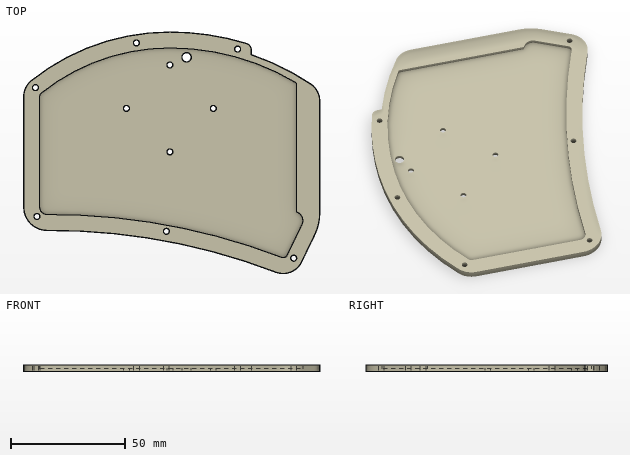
import cadquery as cq
import math

plate_length = 129.55
plate_thickness = 3.0
pocket_depth = 1.5
rim_width = 7.0
narrow_rim_width = 3.0

plate_left = -63.97
plate_right = plate_left + plate_length
pocket_left = plate_left + rim_width
pocket_right = 55.4

crest_y = 26.45
left_crown_radius = 90.0
right_crown_radius = 107.5

lower_centre = (-52.1, -327.6)
lower_radius = 281.2

slant_angle = math.radians(64.2)
pocket_slant_point = (51.95, -62.8)

bulge_top_y = -45.3
bulge_middle = (57.6, -47.1)
bulge_bottom_y = -50.4

tab_right = 35.6
tab_radius = 3.0

pocket_corner_radius = 2.0
lower_left_pocket_radius = 3.3
pocket_top_right_radius = 1.0
plate_corner_radius = pocket_corner_radius + rim_width
lower_left_plate_radius = lower_left_pocket_radius + rim_width
plate_slant_radius = 22.0

screw_diameter = 2.5
pattern_count = 4
pattern_radius = 19.0
rim_holes = [
    (-14.65, 28.65),
    (29.6, 25.95),
    (-58.8, 9.1),
    (-58.15, -47.25),
    (-1.55, -53.75),
    (54.15, -65.5),
]
large_hole_diameter = 4.0
large_hole = (7.3, 22.35)


def crown_y(x, offset):
    """Height at x of the crown curve, moved outward by offset."""
    radius = left_crown_radius if x < 0 else right_crown_radius
    return crest_y - radius + math.sqrt((radius + offset) ** 2 - x**2)


def lower_y(x, offset):
    """Height at x of the lower curve, moved outward by offset."""
    return lower_centre[1] + math.sqrt((lower_radius - offset) ** 2 - (x - lower_centre[0]) ** 2)


def crown_point(x, offset):
    return (x, crown_y(x, offset))


def lower_point(x, offset):
    return (x, lower_y(x, offset))


def slant_x(y, offset):
    """Position at height y of the slanted wall, moved outward by offset."""
    rise = y - pocket_slant_point[1]
    return pocket_slant_point[0] + rise / math.tan(slant_angle) + offset / math.sin(slant_angle)


def slant_y(x, offset):
    """Height at x of the slanted wall, moved outward by offset."""
    run = x - pocket_slant_point[0] - offset / math.sin(slant_angle)
    return pocket_slant_point[1] + run * math.tan(slant_angle)


def lower_right_corner(offset):
    """Point where the slanted wall meets the lower curve, both moved outward by offset."""
    base_x = slant_x(lower_centre[1], offset)
    along = (math.cos(slant_angle), math.sin(slant_angle))
    shift = base_x - lower_centre[0]
    projection = shift * along[0]
    reach = -projection + math.sqrt(projection**2 - shift**2 + (lower_radius - offset) ** 2)
    return (base_x + reach * along[0], lower_centre[1] + reach * along[1])


def fillet_corner(body, corner, radius):
    """Round the vertical edge nearest to a corner point."""
    nearest = cq.selectors.NearestToPointSelector((corner[0], corner[1], plate_thickness / 2))
    edges = body.edges("|Z").edges(nearest)
    return edges.fillet(radius)


def make_plate():
    lower_left = lower_point(plate_left, rim_width)
    upper_left = crown_point(plate_left, rim_width)
    tab_top = crown_point(tab_right, rim_width)
    tab_foot = crown_point(tab_right, narrow_rim_width)
    upper_right = crown_point(plate_right, narrow_rim_width)
    slant_top = (plate_right, slant_y(plate_right, rim_width))
    lower_right = lower_right_corner(rim_width)
    body = (
        cq.Workplane("XY")
        .moveTo(*lower_left)
        .lineTo(*upper_left)
        .threePointArc(crown_point(plate_left / 2, rim_width), crown_point(0, rim_width))
        .threePointArc(crown_point(tab_right / 2, rim_width), tab_top)
        .lineTo(*tab_foot)
        .threePointArc(crown_point((tab_right + plate_right) / 2, narrow_rim_width), upper_right)
        .lineTo(*slant_top)
        .lineTo(*lower_right)
        .threePointArc(lower_point(0, rim_width), lower_left)
        .close()
        .extrude(plate_thickness)
    )
    for corner in (upper_left, upper_right, lower_right):
        body = fillet_corner(body, corner, plate_corner_radius)
    body = fillet_corner(body, slant_top, plate_slant_radius)
    body = fillet_corner(body, lower_left, lower_left_plate_radius)
    return fillet_corner(body, tab_top, tab_radius)


def make_pocket():
    lower_left = lower_point(pocket_left, 0)
    upper_left = crown_point(pocket_left, 0)
    upper_right = crown_point(pocket_right, 0)
    lower_right = lower_right_corner(0)
    body = (
        cq.Workplane("XY", origin=(0, 0, plate_thickness - pocket_depth))
        .moveTo(*lower_left)
        .lineTo(*upper_left)
        .threePointArc(crown_point(pocket_left / 2, 0), crown_point(0, 0))
        .threePointArc(crown_point(pocket_right / 2, 0), upper_right)
        .lineTo(pocket_right, bulge_top_y)
        .threePointArc(bulge_middle, (slant_x(bulge_bottom_y, 0), bulge_bottom_y))
        .lineTo(*lower_right)
        .threePointArc(lower_point(0, 0), lower_left)
        .close()
        .extrude(pocket_depth)
    )
    for corner in (upper_left, lower_right):
        body = fillet_corner(body, corner, pocket_corner_radius)
    body = fillet_corner(body, lower_left, lower_left_pocket_radius)
    return fillet_corner(body, upper_right, pocket_top_right_radius)


def make_holes():
    start = cq.Workplane("XY")
    rim = start.pushPoints(rim_holes).circle(screw_diameter / 2).extrude(plate_thickness)
    pattern_places = start.polarArray(pattern_radius, 0, 360, pattern_count)
    pattern = pattern_places.circle(screw_diameter / 2).extrude(plate_thickness)
    large = start.center(*large_hole).circle(large_hole_diameter / 2).extrude(plate_thickness)
    return rim.union(pattern).union(large)


result = make_plate().cut(make_pocket()).cut(make_holes())